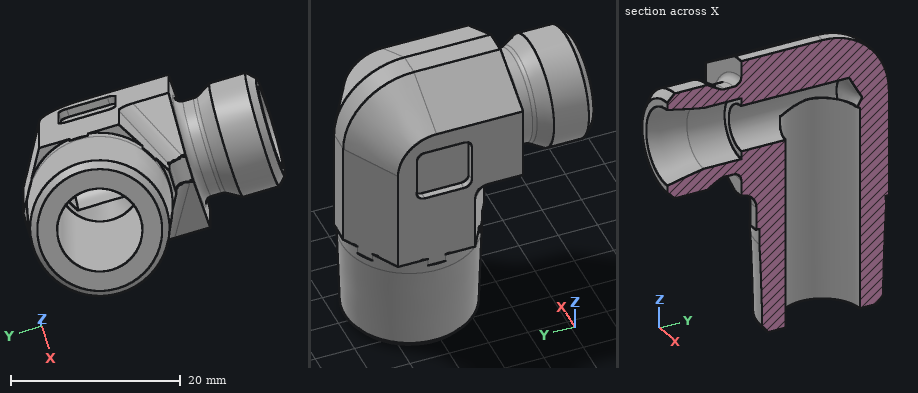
import cadquery as cq
import math

across_flats = 17.0
hexagon_angle = 30.0
leg_half_depth = 8.98
axis_height = 27.97
face_distance = 11.0
inner_fillet = 2.0

thread_radius = 8.57
thread_end_radius = 8.2
thread_tip_radius = 7.35
thread_tip_length = 1.0
thread_top = 12.0
flat_run_out = 13.0
body_bottom = 14.0

connector_tip = 21.0
connector_radius = 14.0 / 2
connector_chamfer = 1.0
connector_shoulder = 15.55
shoulder_angle = 30.0
neck_radius = 11.7 / 2
neck_fillet = 1.0

mouth_radius = 10.0 / 2
tube_radius = 8.0 / 2
tube_depth = 10.0
mouth_depth = 4.9
flow_radius = 6.0 / 2
thread_bore_radius = 10.0 / 2
thread_bore_drop = 1.35
drill_half_angle = 60.0
flow_tip_overrun = 0.3

panel_size = 7.0
panel_corner = 1.0
panel_offset = 1.0
panel_depth = 1.0

margin = 0.37

half_width = across_flats / 2
flat_slope = math.tan(math.radians(hexagon_angle))
corner_depth = half_width * flat_slope
end_half_width = (2 * corner_depth - leg_half_depth) / flat_slope

rear_half = [
    (half_width, 0),
    (half_width, corner_depth),
    (end_half_width, leg_half_depth),
    (-end_half_width, leg_half_depth),
    (-half_width, corner_depth),
    (-half_width, 0),
]


def section(workplane):
    """Hexagon with its two pointed ends cut flat."""
    rear = rear_half[1:-1]
    return workplane.polyline(rear + [(-x, -y) for x, y in rear]).close()


def elbow_body():
    """Two legs joined by a quarter turn, with a rounded inner corner."""
    center = (0, 0, axis_height)
    down_leg = section(cq.Workplane("XY", origin=(0, 0, body_bottom))).extrude(axis_height - body_bottom)
    front_leg = section(cq.Workplane("XZ", origin=center)).extrude(face_distance)
    bend = cq.Workplane("XY", origin=center).polyline(rear_half).close().revolve(90, (0, 0, 0), (1, 0, 0))
    body = down_leg.union(front_leg).union(bend)
    inner_corner = cq.selectors.BoxSelector(
        (-half_width + margin, -leg_half_depth - margin, axis_height - leg_half_depth - margin),
        (half_width - margin, -corner_depth - margin, axis_height - corner_depth - margin),
    )
    return body.edges(inner_corner).fillet(inner_fillet)


def thread():
    """Tapered spigot whose top is trimmed by the flats of the body above it."""
    spigot = (
        cq.Workplane("XZ")
        .polyline([
            (0, 0),
            (thread_tip_radius, 0),
            (thread_end_radius, thread_tip_length),
            (thread_radius, thread_top),
            (thread_radius, flat_run_out),
            (0, flat_run_out),
        ])
        .close()
        .revolve(360, (0, 0, 0), (0, 1, 0))
    )
    trimmed_height = body_bottom - flat_run_out
    trimmed = cq.Workplane("XY", origin=(0, 0, flat_run_out)).circle(thread_radius).extrude(trimmed_height)
    flats = section(cq.Workplane("XY", origin=(0, 0, flat_run_out))).extrude(trimmed_height)
    return spigot.union(trimmed.intersect(flats))


def turned_about_front_axis(outline):
    """Revolve an outline of (radius, distance forward) points about the connector axis."""
    profile = cq.Workplane("XY", origin=(0, 0, axis_height)).polyline([(r, -d) for r, d in outline]).close()
    return profile.revolve(360, (0, 0, 0), (0, 1, 0))


def connector():
    """Neck, sloped shoulder and chamfered head."""
    shoulder_length = (connector_radius - neck_radius) / math.tan(math.radians(shoulder_angle))
    return turned_about_front_axis([
        (0, 0),
        (neck_radius, 0),
        (neck_radius, connector_shoulder - shoulder_length),
        (connector_radius, connector_shoulder),
        (connector_radius, connector_tip - connector_chamfer),
        (connector_radius - connector_chamfer, connector_tip),
        (0, connector_tip),
    ])


def connector_bore():
    """Conical mouth, tube socket and drilled flow passage."""
    tip_position = -thread_bore_radius - flow_tip_overrun
    tip_length = flow_radius / math.tan(math.radians(drill_half_angle))
    return turned_about_front_axis([
        (0, tip_position),
        (flow_radius, tip_position + tip_length),
        (flow_radius, connector_tip - tube_depth),
        (tube_radius, connector_tip - tube_depth),
        (tube_radius, connector_tip - mouth_depth),
        (mouth_radius, connector_tip),
        (0, connector_tip),
    ])


def thread_bore():
    """Drilled hole from the thread end up to the flow passage."""
    bore_top = axis_height - thread_bore_drop
    tip_length = thread_bore_radius / math.tan(math.radians(drill_half_angle))
    return (
        cq.Workplane("XZ")
        .polyline([
            (0, 0),
            (thread_bore_radius, 0),
            (thread_bore_radius, bore_top),
            (0, bore_top + tip_length),
        ])
        .close()
        .revolve(360, (0, 0, 0), (0, 1, 0))
    )


def panel_recess():
    """Shallow square pocket with rounded corners."""
    return (
        cq.Workplane("YZ", origin=(-half_width, -panel_offset, axis_height - panel_offset))
        .rect(panel_size, panel_size)
        .extrude(panel_depth)
        .edges("|X")
        .fillet(panel_corner)
    )


def body_with_connector():
    """Join the connector to the body and round both ends of its neck."""
    solid = elbow_body().union(connector())
    neck_reach = neck_radius + margin
    neck_ends = cq.selectors.BoxSelector(
        (-neck_reach, -connector_shoulder + margin, axis_height - neck_reach),
        (neck_reach, -face_distance + margin, axis_height + neck_reach),
        boundingbox=True,
    )
    return solid.edges(neck_ends).edges("%CIRCLE").fillet(neck_fillet)


result = body_with_connector().union(thread()).cut(connector_bore()).cut(thread_bore()).cut(panel_recess())